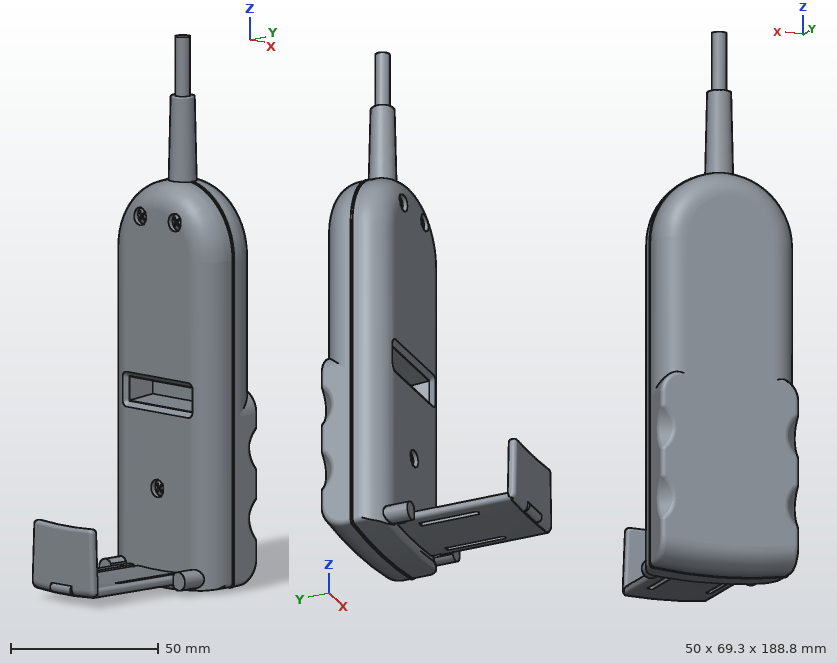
import cadquery as cq
import math

total_height = 188.8

seam_half_width = 25.0
seam_step = 0.2
seam_half_thickness = 0.4
shell_half_width = seam_half_width - seam_step
front_y = -11.9
back_y = 11.9
shell_fillet = 9.2
dome_center_z = 114.8
bottom_sag = 1.9
bottom_corner_radius = 1.7
bottom_edge_radius = 1.5

grip_top_z = 68.5
grip_corner_radius = 8.0
grip_seat_z = 58.5
grip_heel_radius = 8.5
grip_edge_radius = 1.7
groove_heights = (24.0, 48.3)
groove_radius = 11.3
groove_depth = 3.2

cable_radius = 2.55
boot_top_z = 168.4
boot_top_radius = 4.2
boot_bottom_radius = 5.0
boot_edge_radius = 0.5

window_width = 31.3
window_height = 8.7
window_center_z = 66.6
window_depth = 11.3
window_draft = 7.5
window_bevel = 1.7
window_corner_radius = 2.3

screw_radius = 3.0
screw_clearance = 1.9
screw_head_gap = 0.8
screw_dome_rise = 1.1
screw_slot_width = 0.5
screw_slot_length = 3.8
screw_slot_depth = 1.1
screw_positions = ((-8.5, 127.0), (8.5, 127.0), (0, 34.4))

clip_half_width = 15.1
clip_front_y = -56.6
clip_top_z = 7.0
clip_thickness = 3.2
clip_edge_radius = 1.3
clip_bend_radius = 2.8
lip_top_z = 27.4
lip_top_half_width = 14.3
lip_overlap = 0.2
lip_corner_radius = 1.5
slot_center_x = 10.5
slot_width = 2.0
slot_end_radius = 0.8
slot_groove_depth = 1.9
slot_end_y = -41.0
neck_half_width = 13.8
neck_end_y = -15.1
bead_radius = 1.9
bead_length = 9.8
bead_y = -55.5
bead_z = 5.3

lug_radius = 3.2
lug_center_x = 18.0
lug_center_z = 5.5
lug_end_y = -19.0
lug_gap = 0.2

bottom_radius = (seam_half_width**2 + bottom_sag**2) / (2 * bottom_sag)


def xz(y):
    return cq.Workplane("XZ", origin=(0, y, 0))


def handle_outline(y, half_width, bottom_z):
    """Domed outline with a bowed bottom edge."""
    return (
        xz(y)
        .moveTo(-half_width, bottom_z + bottom_sag)
        .lineTo(-half_width, dome_center_z)
        .threePointArc((0, dome_center_z + half_width), (half_width, dome_center_z))
        .lineTo(half_width, bottom_z + bottom_sag)
        .threePointArc((0, bottom_z), (-half_width, bottom_z + bottom_sag))
        .close()
    )


def handle_prism(y_start, y_end, half_width, bottom_z):
    body = handle_outline(y_start, half_width, bottom_z).extrude(y_start - y_end)
    corners = cq.selectors.BoxSelector(
        (-half_width - 1.9, y_start - 1.9, bottom_z - 1.9),
        (half_width + 1.9, y_end + 1.9, bottom_z + bottom_sag + 1.9),
    )
    return body.edges("|Y").edges(corners).fillet(bottom_corner_radius)


def make_shell():
    """Pill-shaped shell with a rounded front and back, trimmed by the bowed bottom."""
    overhang = 18.9
    pill = handle_outline(front_y, shell_half_width, -overhang).extrude(front_y - back_y)
    rims = pill.faces("<Y or >Y").edges("not(<Z)")
    pill = rims.fillet(shell_fillet)
    trim = handle_prism(front_y, back_y, shell_half_width, seam_step)
    trim = trim.faces("<Y").edges("<Z").fillet(bottom_edge_radius)
    grip_space = cq.Workplane("XY").box(
        2 * seam_half_width, back_y, grip_seat_z, centered=(True, False, False)
    )
    return pill.intersect(trim).cut(grip_space)


def make_seam():
    return handle_prism(-seam_half_thickness, seam_half_thickness, seam_half_width, 0)


def make_groove(side, z):
    """Finger groove: a cylinder crossing one back edge at 45 degrees."""
    axis_offset = groove_radius - groove_depth
    length = 4 * groove_radius
    start = cq.Vector(
        side * (shell_half_width + (axis_offset + length / 2) * math.sqrt(0.5)),
        back_y + (axis_offset - length / 2) * math.sqrt(0.5),
        z,
    )
    return cq.Workplane(
        cq.Solid.makeCylinder(groove_radius, length, start, cq.Vector(-side, 1, 0))
    )


def make_grip():
    block = (
        xz(0)
        .moveTo(-shell_half_width, seam_step + bottom_sag)
        .lineTo(-shell_half_width, grip_top_z)
        .lineTo(shell_half_width, grip_top_z)
        .lineTo(shell_half_width, seam_step + bottom_sag)
        .threePointArc((0, seam_step), (-shell_half_width, seam_step + bottom_sag))
        .close()
        .extrude(-back_y)
    )
    block = block.edges("|Y and >Z").fillet(grip_corner_radius)
    block = block.faces(">Y").edges("<Z").fillet(grip_heel_radius)
    for z in groove_heights:
        for side in (-1, 1):
            block = block.cut(make_groove(side, z))
    return block.faces(">Y or <X or >X").edges("not(|Y or <Y)").fillet(grip_edge_radius)


def make_cable():
    boot_root_z = dome_center_z + shell_half_width - 3.8
    boot = (
        cq.Workplane("XY", origin=(0, 0, boot_root_z))
        .circle(boot_bottom_radius)
        .workplane(offset=boot_top_z - boot_root_z)
        .circle(boot_top_radius)
        .loft()
        .faces(">Z")
        .edges()
        .fillet(boot_edge_radius)
    )
    cable = (
        cq.Workplane("XY", origin=(0, 0, boot_root_z))
        .circle(cable_radius)
        .extrude(total_height - boot_root_z)
    )
    return boot.union(cable)


def make_window():
    """Rectangular recess with drafted walls and a bevelled mouth."""
    recess = xz(front_y).rect(window_width, window_height).extrude(-window_depth, taper=window_draft)
    mouth_outline = (
        cq.Sketch()
        .rect(window_width + 2 * window_bevel, window_height + 2 * window_bevel)
        .vertices()
        .fillet(window_corner_radius)
    )
    mouth = xz(front_y).placeSketch(mouth_outline).extrude(-window_bevel, taper=45)
    return recess.union(mouth).translate((0, 0, window_center_z))


def make_screw_well():
    """Cut-out around a sunken screw: a round well over a domed, cross-slotted head."""
    dome_radius = (screw_radius**2 + screw_dome_rise**2) / (2 * screw_dome_rise)
    half_way_x = screw_radius / 2
    half_way_drop = dome_radius - math.sqrt(dome_radius**2 - half_way_x**2)
    well = (
        cq.Workplane("XZ")
        .moveTo(0, screw_clearance)
        .lineTo(screw_radius, screw_clearance)
        .lineTo(screw_radius, -screw_head_gap - screw_dome_rise)
        .threePointArc((half_way_x, -screw_head_gap - half_way_drop), (0, -screw_head_gap))
        .close()
        .revolve(360, (0, 0), (0, 1))
    )
    for angle in (45, 135):
        slot = cq.Workplane("XY").box(screw_slot_length, screw_slot_width, 2 * screw_slot_depth)
        slot = slot.rotate((0, 0, 0), (0, 0, 1), angle)
        well = well.union(slot.translate((0, 0, -screw_head_gap)))
    return well.rotate((0, 0, 0), (1, 0, 0), 90)


def bow_drop(x):
    """How far the bowed underside falls between X = x and the middle."""
    return bottom_radius - math.sqrt(bottom_radius**2 - x**2)


def bowed_strip(y_start, y_end, bottom_half, bottom_z, top_half, top_z):
    """Strip along Y whose top and bottom both sag towards the middle."""
    return (
        xz(y_start)
        .moveTo(-bottom_half, bottom_z)
        .lineTo(-top_half, top_z)
        .threePointArc((0, top_z - bow_drop(top_half)), (top_half, top_z))
        .lineTo(bottom_half, bottom_z)
        .threePointArc((0, bottom_z - bow_drop(bottom_half)), (-bottom_half, bottom_z))
        .close()
        .extrude(y_start - y_end)
    )


def make_clip():
    plate_bottom_z = clip_top_z - clip_thickness
    lip_middle_y = clip_front_y + clip_thickness / 2
    lip_back_y = clip_front_y + clip_thickness
    plate = bowed_strip(
        lip_middle_y, 0, clip_half_width, plate_bottom_z, clip_half_width, clip_top_z
    )
    plate = plate.edges("|Y").fillet(clip_edge_radius)

    lip = bowed_strip(
        clip_front_y,
        lip_back_y,
        clip_half_width + lip_overlap,
        plate_bottom_z - lip_overlap,
        lip_top_half_width,
        lip_top_z,
    )
    lip = lip.edges("|Y and >Z").fillet(lip_corner_radius)
    lip = lip.faces("<Y").edges("<Z").fillet(clip_bend_radius)
    lip = lip.faces("<Y or >Y").edges().fillet(clip_edge_radius)

    bead = (
        cq.Workplane("YZ", origin=(-bead_length / 2, 0, 0))
        .center(bead_y, bead_z)
        .circle(bead_radius)
        .extrude(bead_length)
    )

    clip = plate.union(lip).union(bead)
    slot_length = lug_end_y - slot_end_y
    groove_length = front_y - lug_end_y
    notch_width = clip_half_width - neck_half_width
    for side in (-1, 1):
        slot = (
            cq.Workplane("XY")
            .box(slot_width, slot_length, 2 * lip_top_z)
            .edges("|Z and <Y")
            .fillet(slot_end_radius)
            .translate((side * slot_center_x, (lug_end_y + slot_end_y) / 2, 0))
        )
        groove = cq.Workplane("XY").box(slot_width, groove_length, 2 * slot_groove_depth)
        groove = groove.translate((side * slot_center_x, (front_y + lug_end_y) / 2, clip_top_z))
        notch = cq.Workplane("XY").box(notch_width, front_y - neck_end_y, 2 * lip_top_z)
        notch_x = side * (neck_half_width + notch_width / 2)
        clip = clip.cut(slot).cut(groove).cut(notch.translate((notch_x, (front_y + neck_end_y) / 2, 0)))
    return clip


def make_lugs():
    """Round hinge lugs, flattened where they face the clip."""
    lugs = (
        xz(lug_end_y)
        .pushPoints([(-lug_center_x, lug_center_z), (lug_center_x, lug_center_z)])
        .circle(lug_radius)
        .extrude(lug_end_y)
    )
    clip_space = cq.Workplane("XY").box(
        2 * (clip_half_width + lug_gap), 2 * (front_y - lug_end_y), 2 * lip_top_z
    )
    return lugs.cut(clip_space.translate((0, lug_end_y, 0)))


result = make_shell().union(make_grip()).union(make_seam()).union(make_cable())
result = result.cut(make_window())
for screw_x, screw_z in screw_positions:
    result = result.cut(make_screw_well().translate((screw_x, front_y, screw_z)))
result = result.union(make_lugs()).union(make_clip())